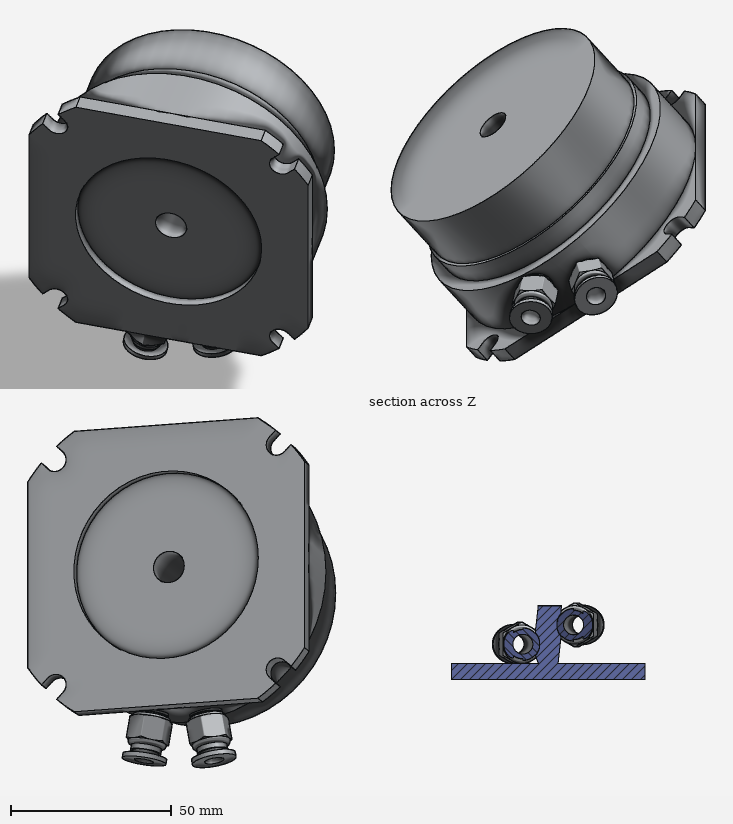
import cadquery as cq
import math

plate_width = 90.0
plate_corner_radius = 54.0
plate_thickness = 5.0
slot_width = 7.0
slot_pitch_radius = 51.0
base_radius = plate_width / 2
base_length = 18.0
shoulder_radius = 41.0
shoulder_length = 7.0
drum_radius = 40.0
drum_length = 20.0
housing_length = plate_thickness + base_length + shoulder_length + drum_length
recess_diameter = 60.0
recess_depth = 3.0
shaft_hole_diameter = 10.0

fitting_tilt = 10.0
fitting_stagger = 6.0
base_middle = plate_thickness + base_length / 2
foot_radius = 5.1
socket_depth = 6.0
foot_start = base_radius - socket_depth
foot_end = 45.5
neck_radius = 4.6
nut_start = 46.0
nut_end = 56.0
nut_flats = 12.0
nut_corner_radius = nut_flats / 2 / math.cos(math.radians(30))
nut_rim_radius = nut_flats / 2
nut_inner_rim_height = 1.0
nut_outer_rim_height = 1.5
nut_edge_fillet = 0.4
nut_chamfer_height = 0.4
collar_radius = 4.8
nut_inner_fillet = 0.9
nut_outer_fillet = nut_rim_radius - collar_radius
collar_end = 57.6
sleeve_radius = 4.1
flange_start = 59.0
flange_end = 60.5
flange_half_width = 7.0
flange_half_depth = 6.2
bore_diameter = 6.0


def disc(radius, start, length):
    """Cylinder along +Y from the given Y position."""
    return cq.Workplane("XZ", origin=(0, start, 0)).circle(radius).extrude(-length)


def make_plate():
    """Square plate with corners rounded by one large circle and slotted diagonally."""
    plate = cq.Workplane("XZ").rect(plate_width, plate_width).extrude(-plate_thickness)
    plate = plate.intersect(disc(plate_corner_radius, 0, plate_thickness))
    slot_length = 3 * slot_width
    slot_centre = slot_pitch_radius + (slot_length - slot_width) / 2
    for angle in (45, 135, 225, 315):
        slot = (
            cq.Workplane("XZ")
            .center(slot_centre, 0)
            .slot2D(slot_length, slot_width)
            .extrude(-plate_thickness)
            .rotate((0, 0, 0), (0, 1, 0), angle)
        )
        plate = plate.cut(slot)
    return plate


def make_housing():
    """Plate, base, shoulder and drum with a front recess and a through hole."""
    shoulder_start = plate_thickness + base_length
    drum_start = shoulder_start + shoulder_length
    body = (
        make_plate()
        .union(disc(base_radius, plate_thickness, base_length))
        .union(disc(shoulder_radius, shoulder_start, shoulder_length))
        .union(disc(drum_radius, drum_start, drum_length))
    )
    body = body.cut(disc(recess_diameter / 2, 0, recess_depth))
    return body.cut(disc(shaft_hole_diameter / 2, 0, housing_length))


def post(radius, start, end):
    """Cylinder pointing down -Z between two distances from the housing axis."""
    return cq.Workplane("XY", origin=(0, 0, -start)).circle(radius).extrude(start - end)


def make_nut():
    """Hexagon with rounded, chamfered corners and a rounded rim at each end; corners point along Y."""
    corner_start = nut_start + nut_inner_rim_height
    corner_end = nut_end - nut_outer_rim_height
    hexagon = (
        cq.Workplane("XY", origin=(0, 0, -corner_start))
        .polygon(6, 2 * nut_corner_radius)
        .extrude(corner_start - corner_end)
        .edges("|Z")
        .fillet(nut_edge_fillet)
        .rotate((0, 0, 0), (0, 0, 1), 90)
    )
    chamfered_blank = (
        cq.Workplane("XZ")
        .moveTo(0, -corner_start)
        .lineTo(nut_rim_radius, -corner_start)
        .lineTo(nut_corner_radius, -corner_start - nut_chamfer_height)
        .lineTo(nut_corner_radius, -corner_end + nut_chamfer_height)
        .lineTo(nut_rim_radius, -corner_end)
        .lineTo(0, -corner_end)
        .close()
        .revolve(360, (0, 0), (0, 1))
    )
    rim = post(nut_rim_radius, nut_start, nut_end)
    rim = rim.faces(">Z").edges().fillet(nut_inner_fillet)
    rim = rim.faces("<Z").edges().fillet(nut_outer_fillet)
    return rim.union(hexagon.intersect(chamfered_blank))


def make_flange():
    """Elliptical release flange, widest across the housing axis."""
    return (
        cq.Workplane("XY", origin=(0, 0, -flange_start))
        .ellipse(flange_half_width, flange_half_depth)
        .extrude(flange_start - flange_end)
    )


def make_fitting():
    """Upright push-in fitting, bored through along its axis; its foot plugs into the base."""
    return (
        post(foot_radius, foot_start, foot_end)
        .union(post(neck_radius, foot_end, nut_start))
        .union(make_nut())
        .union(post(collar_radius, nut_end, collar_end))
        .union(post(sleeve_radius, collar_end, flange_start))
        .union(make_flange())
        .cut(post(bore_diameter / 2, foot_start, flange_end))
    )


def place(upright, side):
    """Tilt an upright shape about the housing axis and move it to its station along Y."""
    tilted = upright.rotate((0, 0, 0), (0, 1, 0), -side * fitting_tilt)
    return tilted.translate((0, base_middle + side * fitting_stagger / 2, 0))


housing = make_housing()
fittings = []
for side in (-1, 1):
    housing = housing.cut(place(post(foot_radius, foot_start, foot_end), side))
    fittings.append(place(make_fitting(), side).val())

result = cq.Compound.makeCompound([housing.val(), *fittings])